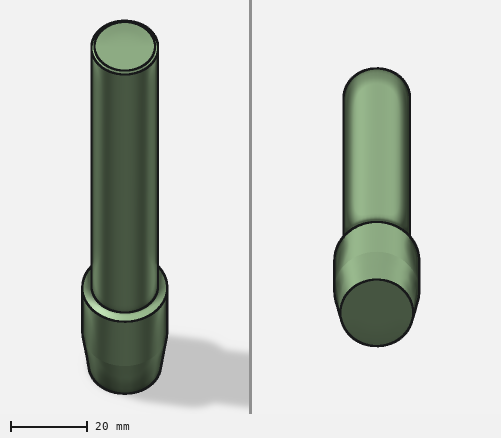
import cadquery as cq

TOTAL_HEIGHT = 140.0
ROD_DIAMETER = 17.5
ROD_CHAMFER_HEIGHT = 0.5
ROD_CHAMFER_WIDTH = 0.8

BASE_DIAMETER = 22.3
BASE_TIP_DIAMETER = 19.0
BASE_HEIGHT = 34.7
TAPER_HEIGHT = 14.3
SHOULDER_HEIGHT = 0.8

ROD_RADIUS = ROD_DIAMETER / 2
BASE_RADIUS = BASE_DIAMETER / 2
BASE_TIP_RADIUS = BASE_TIP_DIAMETER / 2


def revolve_about_z(profile):
    """Revolve a closed (radius, height) outline a full turn about Z."""
    return cq.Workplane("XZ").polyline(profile).close().revolve(360, (0, 0), (0, 1))


def make_rod():
    """Round bar with a chamfered top edge."""
    return revolve_about_z([
        (0, BASE_HEIGHT),
        (ROD_RADIUS, BASE_HEIGHT),
        (ROD_RADIUS, TOTAL_HEIGHT - ROD_CHAMFER_HEIGHT),
        (ROD_RADIUS - ROD_CHAMFER_WIDTH, TOTAL_HEIGHT),
        (0, TOTAL_HEIGHT),
    ])


def make_base():
    """Solid base with a tapered lower end and a conical shoulder around the rod's seat."""
    return revolve_about_z([
        (0, 0),
        (BASE_TIP_RADIUS, 0),
        (BASE_RADIUS, TAPER_HEIGHT),
        (BASE_RADIUS, BASE_HEIGHT - SHOULDER_HEIGHT),
        (ROD_RADIUS, BASE_HEIGHT),
        (0, BASE_HEIGHT),
    ])


rod = make_rod()
base = make_base()

result = cq.Compound.makeCompound([rod.val(), base.val()])